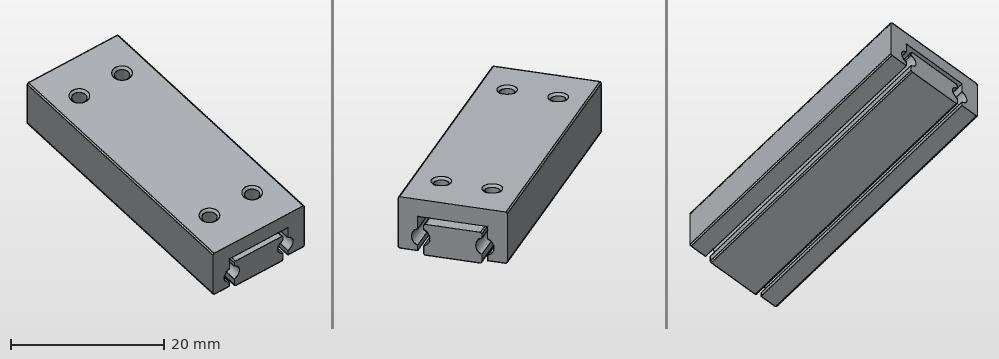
import cadquery as cq

length = 40.0
edge_chamfer = 0.2

rail_width = 8.0
rail_height = 4.5

carriage_width = 15.0
overall_height = 8.0
carriage_base_z = 0.5
roof_thickness = 2.5
channel_width = 9.6
carriage_height = overall_height - carriage_base_z
channel_height = carriage_height - roof_thickness

raceway_diameter = 2.5
raceway_z = 2.5
raceway_y = (rail_width + channel_width) / 4

hole_diameter = 2.01
countersink_diameter = 2.7
countersink_angle = 90.0
hole_spacing_x = 28.0
hole_spacing_y = 7.0


def bar(width, height, base_z):
    """Rectangular bar along X, centred in X and Y, with its underside at base_z."""
    base = cq.Workplane("XY", origin=(0, 0, base_z))
    return base.box(length, width, height, centered=(True, True, False))


def raceways():
    """The pair of full-length cylinders that shape the ball grooves."""
    return (
        cq.Workplane("YZ", origin=(-length / 2, 0, raceway_z))
        .pushPoints([(-raceway_y, 0), (raceway_y, 0)])
        .circle(raceway_diameter / 2)
        .extrude(length)
    )


def make_rail():
    """Bar with chamfered long edges and a ball groove in each side."""
    rail = bar(rail_width, rail_height, 0).edges("|X").chamfer(edge_chamfer)
    return rail.cut(raceways())


def make_carriage():
    """Channel with chamfered outer edges, ball grooves and four mounting holes."""
    body = bar(carriage_width, carriage_height, carriage_base_z).edges("|X").chamfer(edge_chamfer)
    body = body.cut(bar(channel_width, channel_height, carriage_base_z))
    body = body.cut(raceways())
    return (
        body.faces(">Z")
        .workplane()
        .rarray(hole_spacing_x, hole_spacing_y, 2, 2)
        .cskHole(hole_diameter, countersink_diameter, countersink_angle)
    )


rail = make_rail()
carriage = make_carriage()

result = cq.Compound.makeCompound([rail.val(), carriage.val()])